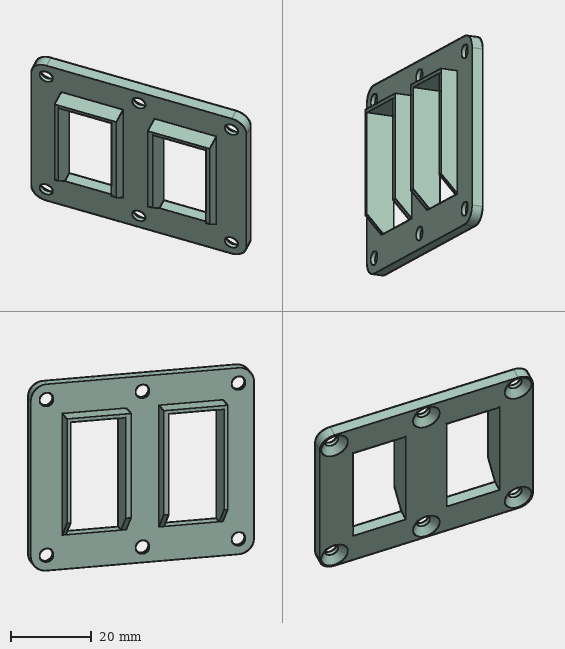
import cadquery as cq

plate_width = 57.2
plate_height = 48.5
plate_thickness = 3.0
corner_radius = 4.0

hole_diameter = 3.5
countersink_diameter = 7.15
countersink_depth = (countersink_diameter - hole_diameter) / 2
hole_x = plate_width / 2 - corner_radius
hole_z = plate_height / 2 - corner_radius

window_width = 14.1
window_height = 30.65
outer_wall = 1.0
inner_wall = 1.3
top_wall = 1.0
window_inner_x = 5.5
total_depth = 7.5

window_top = window_height / 2
window_bottom = -window_height / 2
window_center_x = window_inner_x + window_width / 2
collar_inner_x = window_inner_x - inner_wall
collar_width = inner_wall + window_width + outer_wall
collar_top = window_top + top_wall
collar_depth = total_depth - plate_thickness


def make_plate():
    return (
        cq.Workplane("XY")
        .box(plate_width, plate_thickness, plate_height)
        .translate((0, -plate_thickness / 2, 0))
        .edges("|Y")
        .fillet(corner_radius)
    )


def make_collar():
    """Solid right-hand collar, its lower end sloping at 45 degrees."""
    profile = [
        (0, window_bottom),
        (-plate_thickness, window_bottom),
        (-total_depth, window_bottom + collar_depth),
        (-total_depth, collar_top),
        (0, collar_top),
    ]
    return (
        cq.Workplane("YZ", origin=(collar_inner_x, 0, 0))
        .polyline(profile)
        .close()
        .extrude(collar_width)
    )


def make_window():
    """Cutter for the right-hand window, through collar and plate."""
    return (
        cq.Workplane("XZ")
        .center(window_center_x, 0)
        .rect(window_width, window_height)
        .extrude(total_depth)
    )


def make_screw_holes():
    """Cutters for the screw holes, each widening to a cone at the back face."""
    hole_radius = hole_diameter / 2
    profile = [
        (0, 0),
        (countersink_diameter / 2, 0),
        (hole_radius, -countersink_depth),
        (hole_radius, -plate_thickness),
        (0, -plate_thickness),
    ]
    cutter = cq.Workplane("XY").polyline(profile).close().revolve(360, (0, 0, 0), (0, 1, 0))
    holes = cq.Workplane("XY")
    for x in (-hole_x, 0, hole_x):
        for z in (-hole_z, hole_z):
            holes = holes.add(cutter.translate((x, 0, z)))
    return holes.combine()


collar = make_collar()
window = make_window()
result = make_plate().union(collar).union(collar.mirror("YZ"))
result = result.cut(window).cut(window.mirror("YZ"))
result = result.cut(make_screw_holes())